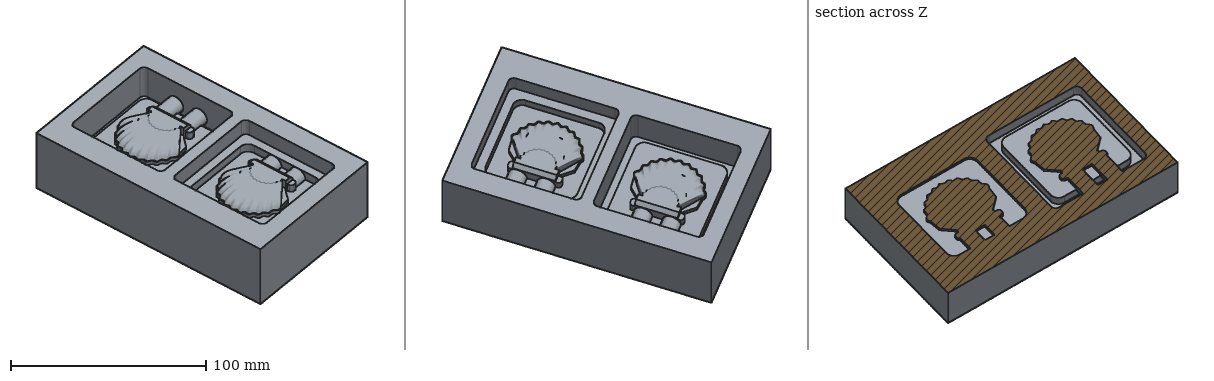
import cadquery as cq
import math

LENGTH = 147.0
WIDTH = 88.0
HEIGHT = 37.0

POCKET_SIDE = 60.0
POCKET_RADIUS = 3.0
POCKET_PITCH = 66.7
LEFT_POCKET_X = -33.8
RIGHT_POCKET_X = LEFT_POCKET_X + POCKET_PITCH
POCKET_Y = 1.6

STEP_SIDE = 50.0
STEP_RADIUS = 5.0
STEP_HEIGHT = 5.0
MOULD_DEPTH = 14.5
MOULD_Z = HEIGHT - MOULD_DEPTH

RUNNER_RADIUS = 5.0
RUNNER_SPACING = 15.6
RUNNER_OFFSET = 0.9
RUNNER_FRONT_Y = 14.7

FAN_Y = 25.0
FAN_HALF_ANGLE = 37.0
FAN_RADIUS = 42.2
FAN_SIDE_DROP = 10.3
RIB_COUNT = 11
RIM_RIB_DEPTH = 0.6
RIM_HEIGHT = 2.2
DOME_LEVELS = [
    (0.985, RIM_HEIGHT, RIM_RIB_DEPTH),
    (0.96, 3.4, 0.7),
    (0.9, 5.0, 1.0),
    (0.76, 6.5, 1.3),
    (0.5, 7.4, 0.3),
]

NECK_HALF_WIDTH = 9.5
NECK_Y = 12.8
RIM_NECK_HALF_WIDTH = 11.5
SHOULDER_X = 18.1
SHOULDER_Y = 6.8
HINGE_Y = 18.5
HINGE_WIDTH = 23.5
HINGE_DEPTH = 5.7
HINGE_HEIGHT = 7.4
HINGE_BEVEL_DEPTH = 2.5
HINGE_BEVEL_DROP = 1.9
EAR_SPAN = 29.4
EAR_DEPTH = 4.4
EAR_HEIGHT = 4.4
EAR_RADIUS = 1.8


def rounded_prism(side, radius, x, bottom, top):
    """Square prism with rounded upright edges."""
    prism = cq.Workplane("XY", origin=(x, POCKET_Y, bottom)).rect(side, side).extrude(top - bottom)
    return prism.edges("|Z").fillet(radius)


def fan_points(share, rib_depth):
    """Scalloped front edge of the shell, from left to right, with a crest on every rib."""
    points = []
    steps = 2 * RIB_COUNT
    for i in range(steps + 1):
        spread = 2 * i / steps - 1
        angle = math.radians(FAN_HALF_ANGLE * spread)
        wave = rib_depth if i % 2 else -rib_depth
        radius = share * (FAN_RADIUS - FAN_SIDE_DROP * spread**2) + wave
        points.append((radius * math.sin(angle), FAN_Y - radius * math.cos(angle)))
    return points


def fan_section(share, z, rib_depth):
    """Closed fan outline, its sides running straight to the neck."""
    fan = fan_points(share, rib_depth)
    sketch = cq.Workplane("XY", origin=(0, 0, z)).moveTo(*fan[0]).spline(fan[1:], includeCurrent=True)
    return sketch.lineTo(NECK_HALF_WIDTH, NECK_Y).lineTo(-NECK_HALF_WIDTH, NECK_Y).close()


def shell_rim():
    fan = fan_points(1.0, RIM_RIB_DEPTH)
    outline = cq.Workplane("XY").moveTo(*fan[0]).spline(fan[1:], includeCurrent=True)
    outline = outline.lineTo(SHOULDER_X, SHOULDER_Y).lineTo(RIM_NECK_HALF_WIDTH, NECK_Y)
    outline = outline.lineTo(-RIM_NECK_HALF_WIDTH, NECK_Y).lineTo(-SHOULDER_X, SHOULDER_Y).close()
    return outline.extrude(RIM_HEIGHT)


def shell_dome():
    wires = [fan_section(*level).val() for level in DOME_LEVELS]
    return cq.Workplane(cq.Solid.makeLoft(wires))


def centred_block(width, depth, height):
    """Block whose back face lies on the hinge line."""
    return cq.Workplane("XY", origin=(0, HINGE_Y - depth / 2, 0)).rect(width, depth).extrude(height)


def shell():
    hinge = centred_block(HINGE_WIDTH, HINGE_DEPTH, HINGE_HEIGHT)
    hinge = hinge.faces(">Y").edges(">Z").chamfer(HINGE_BEVEL_DROP, HINGE_BEVEL_DEPTH)
    ears = centred_block(EAR_SPAN, EAR_DEPTH, EAR_HEIGHT).edges("|Z").fillet(EAR_RADIUS)
    return shell_rim().union(shell_dome()).union(hinge).union(ears)


def runners(x, back_y):
    """Two round bars with their axes on the mould face."""
    plane = cq.Plane(origin=(x, back_y, MOULD_Z), xDir=(1, 0, 0), normal=(0, -1, 0))
    centres = [(-RUNNER_SPACING / 2, 0), (RUNNER_SPACING / 2, 0)]
    return cq.Workplane(plane).pushPoints(centres).circle(RUNNER_RADIUS).extrude(back_y - RUNNER_FRONT_Y)


block = cq.Workplane("XY").box(LENGTH, WIDTH, HEIGHT, centered=(True, True, False))

block = block.cut(rounded_prism(POCKET_SIDE, POCKET_RADIUS, LEFT_POCKET_X, MOULD_Z - STEP_HEIGHT, HEIGHT))
block = block.union(rounded_prism(STEP_SIDE, STEP_RADIUS, LEFT_POCKET_X, MOULD_Z - STEP_HEIGHT, MOULD_Z))

block = block.cut(rounded_prism(POCKET_SIDE, POCKET_RADIUS, RIGHT_POCKET_X, MOULD_Z + STEP_HEIGHT, HEIGHT))
block = block.cut(rounded_prism(STEP_SIDE, STEP_RADIUS, RIGHT_POCKET_X, MOULD_Z, HEIGHT))

block = block.union(runners(LEFT_POCKET_X - RUNNER_OFFSET, POCKET_Y + POCKET_SIDE / 2))
block = block.union(runners(RIGHT_POCKET_X + RUNNER_OFFSET, POCKET_Y + STEP_SIDE / 2))

scallop = shell()
for pocket_x in (LEFT_POCKET_X, RIGHT_POCKET_X):
    block = block.union(scallop.translate((pocket_x, 0, MOULD_Z)))

result = block